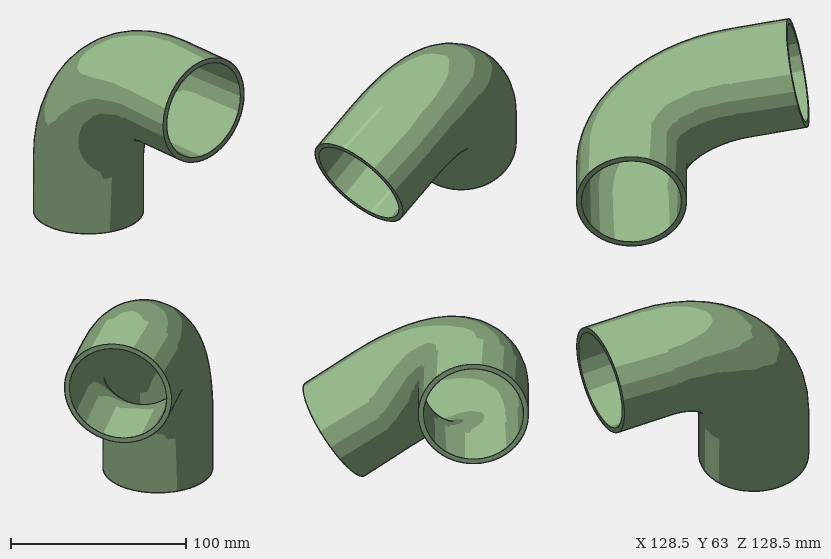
import cadquery as cq

overall_size = 128.5
outer_diameter = 63.0
bore_diameter = 57.0
bend_angle = 90.0

bend_radius = outer_diameter
leg_length = overall_size - bend_radius - outer_diameter / 2


def pipe_section(plane, origin):
    """Ring-shaped pipe cross-section centred on the given origin."""
    return cq.Workplane(plane, origin=origin).circle(outer_diameter / 2).circle(bore_diameter / 2)


bend_start = (0, 0, leg_length)
bend_end = (bend_radius, 0, leg_length + bend_radius)

vertical_leg = pipe_section("XY", (0, 0, 0)).extrude(leg_length)
horizontal_leg = pipe_section("YZ", bend_end).extrude(leg_length)

bend = pipe_section("XY", bend_start).revolve(bend_angle, (bend_radius, 0), (bend_radius, 1))

result = vertical_leg.union(bend).union(horizontal_leg)